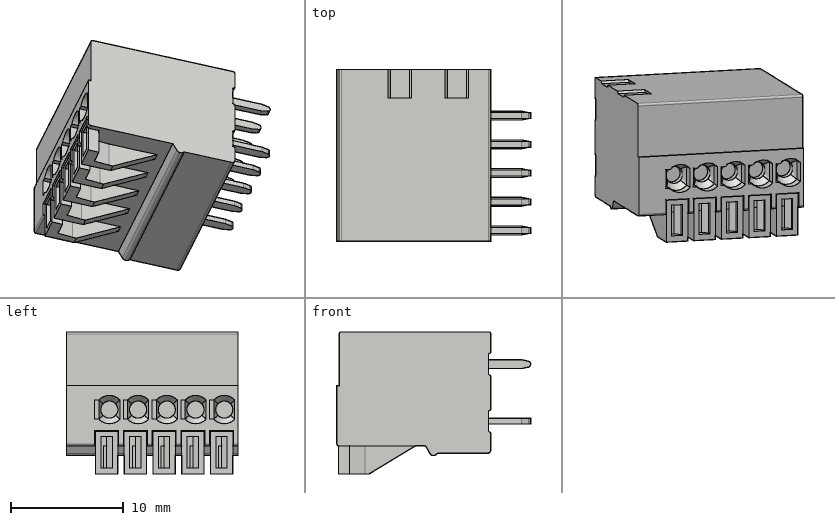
import cadquery as cq
import math


LENGTH = 17.2
WIDTH = 15.24
HEIGHT = 12.6

POLE_COUNT = 5
POLE_PITCH = 2.55
FIRST_PIN_Y = 0.96
FIRST_ENTRY_Y = 1.24
FIRST_LEVER_Y = 1.48

BODY_BACK = 13.67
EDGE_RADIUS = 0.2
UPPER_FRONT = 0.2
STEP_Z = 7.83
FRONT_BOTTOM_Z = 2.5
FRONT_BOTTOM_RADIUS = 0.17
BACK_BOTTOM_Z = 1.82
BACK_BOTTOM_RADIUS = 0.35
HUMP_START_X = 7.86
HUMP_FRONT = (8.24, 1.84)
HUMP_LOW = (8.5, 1.63)
HUMP_BACK = (8.79, 1.7)
HUMP_END_X = 8.95

UPPER_PIN_Z = 9.74
LOWER_PIN_Z = 4.68
RECESS_DEPTH = 0.2
RECESS_FLOOR = 1.77
RECESS_BEVEL = 0.15

PIN_WIDE = 0.8
PIN_THIN = 0.53
PIN_TAPER_X = 16.37
PIN_ROUND_X = 16.98
PIN_ROUND_WIDTH = 0.55
PIN_EMBEDMENT = 0.86
PIN_ROOT_X = BODY_BACK - PIN_EMBEDMENT

GROOVE_STARTS_X = (4.54, 9.6)
GROOVE_WIDTH = 2.1
GROOVE_LENGTH = 2.51
GROOVE_DEPTH = 0.2

ENTRY_Z = 5.71
MOUTH_RADIUS = 1.25
MOUTH_HALF_WIDTH = 0.93
MOUTH_DEPTH = 1.08
FUNNEL_DEPTH = 0.72
BORE_RADIUS = 0.75
BORE_END_X = 2.58
SIDE_SLOT_REACH = 1.3
SIDE_SLOT_HEIGHT = 2 * math.sqrt(MOUTH_RADIUS**2 - MOUTH_HALF_WIDTH**2)

LEVER_WIDTH = 2.0
LEVER_FRONT = 0.14
LEVER_TOP_Z = 3.78
LEVER_HEAD_BACK = 1.12
RIB_TAPER_END_X = 2.51
RIB_THICKNESS = 0.64
RIB_ROOT_THICKNESS = 0.74
LEVER_TOE_X = 2.87
LEVER_END_X = 7.0
LEVER_GAP = 0.07
WINDOW_WIDTH = 1.0
WINDOW_BOTTOM_Z = 0.55
WINDOW_TOP_Z = 3.32
WINDOW_DEPTH = 0.9


def pole_positions(first_y):
    return [first_y + i * POLE_PITCH for i in range(POLE_COUNT)]


def box(x_range, y_range, z_range):
    """Box given by its limits along each axis."""
    (x0, x1), (y0, y1), (z0, z1) = x_range, y_range, z_range
    return cq.Workplane("XY").box(x1 - x0, y1 - y0, z1 - z0, centered=False).translate((x0, y0, z0))


def side_extrusion(profile, y_start, width):
    """Extrude a closed XZ profile towards +Y."""
    return profile.extrude(-width).translate((0, y_start, 0))


def housing():
    profile = (
        cq.Workplane("XZ")
        .moveTo(0, FRONT_BOTTOM_Z)
        .lineTo(HUMP_START_X, FRONT_BOTTOM_Z)
        .lineTo(*HUMP_FRONT)
        .threePointArc(HUMP_LOW, HUMP_BACK)
        .lineTo(HUMP_END_X, BACK_BOTTOM_Z)
        .lineTo(BODY_BACK, BACK_BOTTOM_Z)
        .lineTo(BODY_BACK, HEIGHT)
        .lineTo(UPPER_FRONT, HEIGHT)
        .lineTo(UPPER_FRONT, STEP_Z)
        .lineTo(0, STEP_Z)
        .close()
    )
    body = side_extrusion(profile, 0, WIDTH)
    body = body.faces(">Z").edges("|Y").fillet(EDGE_RADIUS)
    body = body.faces("<X").edges("|Y and <Z").fillet(FRONT_BOTTOM_RADIUS)
    return body.faces(">X").edges("|Y and <Z").fillet(BACK_BOTTOM_RADIUS)


def back_recess(center_z):
    """Shallow recess with bevelled edges running across the back face."""
    half_floor = RECESS_FLOOR / 2
    half_mouth = half_floor + RECESS_BEVEL
    profile = cq.Workplane("XZ").polyline([
        (BODY_BACK, center_z - half_mouth),
        (BODY_BACK - RECESS_DEPTH, center_z - half_floor),
        (BODY_BACK - RECESS_DEPTH, center_z + half_floor),
        (BODY_BACK, center_z + half_mouth),
    ]).close()
    return side_extrusion(profile, 0, WIDTH)


def top_groove(start_x):
    """Groove with 45 degree flanks, open at the high-Y side."""
    profile = cq.Workplane("XZ").polyline([
        (start_x, HEIGHT),
        (start_x + GROOVE_DEPTH, HEIGHT - GROOVE_DEPTH),
        (start_x + GROOVE_WIDTH - GROOVE_DEPTH, HEIGHT - GROOVE_DEPTH),
        (start_x + GROOVE_WIDTH, HEIGHT),
    ]).close()
    return side_extrusion(profile, WIDTH - GROOVE_LENGTH, GROOVE_LENGTH)


def mouth_outline(plane):
    """Circle with its two sides flattened, as one closed outline on the given workplane."""
    half_flat = SIDE_SLOT_HEIGHT / 2
    return (
        plane.moveTo(MOUTH_HALF_WIDTH, -half_flat)
        .lineTo(MOUTH_HALF_WIDTH, half_flat)
        .threePointArc((0, MOUTH_RADIUS), (-MOUTH_HALF_WIDTH, half_flat))
        .lineTo(-MOUTH_HALF_WIDTH, -half_flat)
        .threePointArc((0, -MOUTH_RADIUS), (MOUTH_HALF_WIDTH, -half_flat))
        .close()
    )


def bore_outline(plane):
    """Bore circle split into four arcs that pair with the edges of the mouth outline."""
    scale = BORE_RADIUS / MOUTH_RADIUS
    corner_y = MOUTH_HALF_WIDTH * scale
    corner_z = SIDE_SLOT_HEIGHT / 2 * scale
    return (
        plane.moveTo(corner_y, -corner_z)
        .threePointArc((BORE_RADIUS, 0), (corner_y, corner_z))
        .threePointArc((0, BORE_RADIUS), (-corner_y, corner_z))
        .threePointArc((-BORE_RADIUS, 0), (-corner_y, -corner_z))
        .threePointArc((0, -BORE_RADIUS), (corner_y, -corner_z))
        .close()
    )


def wire_entry(center_y):
    """Flattened mouth, a funnel that blends it into a round bore, and a slot on the high-Y side."""
    front = cq.Workplane("YZ", origin=(0, center_y, ENTRY_Z))
    mouth = mouth_outline(front).extrude(MOUTH_DEPTH)
    mouth_end = front.workplane(offset=MOUTH_DEPTH)
    funnel = bore_outline(mouth_outline(mouth_end).workplane(offset=FUNNEL_DEPTH)).loft(ruled=True)
    bore = front.circle(BORE_RADIUS).extrude(BORE_END_X)
    slot = box(
        (0, MOUTH_DEPTH),
        (center_y, center_y + SIDE_SLOT_REACH),
        (ENTRY_Z - SIDE_SLOT_HEIGHT / 2, ENTRY_Z + SIDE_SLOT_HEIGHT / 2),
    )
    return mouth.union(funnel).union(bore).union(slot)


def lever_pocket(center_y):
    """Clearance around the front of a lever, open at the front and bottom of the housing."""
    half_width = LEVER_WIDTH / 2 + LEVER_GAP
    return box(
        (0, LEVER_HEAD_BACK),
        (center_y - half_width, center_y + half_width),
        (0, LEVER_TOP_Z + LEVER_GAP),
    )


def lever(center_y):
    """Lever head with a thin rib behind its high-Y side; the rib has a sloping underside."""
    low_y = center_y - LEVER_WIDTH / 2
    high_y = center_y + LEVER_WIDTH / 2
    side = cq.Workplane("XZ").polyline([
        (LEVER_FRONT, 0),
        (LEVER_TOE_X, 0),
        (LEVER_END_X, FRONT_BOTTOM_Z),
        (LEVER_END_X, LEVER_TOP_Z),
        (LEVER_FRONT, LEVER_TOP_Z),
    ]).close()
    plan = cq.Workplane("XY").polyline([
        (LEVER_FRONT, low_y),
        (LEVER_HEAD_BACK, low_y),
        (LEVER_HEAD_BACK, high_y - RIB_ROOT_THICKNESS),
        (RIB_TAPER_END_X, high_y - RIB_THICKNESS),
        (LEVER_END_X, high_y - RIB_THICKNESS),
        (LEVER_END_X, high_y),
        (LEVER_FRONT, high_y),
    ]).close()
    side_body = side_extrusion(side, low_y, LEVER_WIDTH)
    return side_body.intersect(plan.extrude(LEVER_TOP_Z))


def lever_window(center_y):
    """Blind window in the lever head, with a 45 degree floor on its low-Y half."""
    half_width = WINDOW_WIDTH / 2
    floor_x = LEVER_FRONT + WINDOW_DEPTH
    plan = cq.Workplane("XY", origin=(0, 0, WINDOW_BOTTOM_Z)).polyline([
        (LEVER_FRONT, center_y - half_width),
        (floor_x - half_width, center_y - half_width),
        (floor_x, center_y),
        (floor_x, center_y + half_width),
        (LEVER_FRONT, center_y + half_width),
    ]).close()
    return plan.extrude(WINDOW_TOP_Z - WINDOW_BOTTOM_Z)


def pin():
    """Flat pin along X, widest in Y, with a tapered and rounded tip."""
    half_width = PIN_WIDE / 2
    half_round = PIN_ROUND_WIDTH / 2
    return (
        cq.Workplane("XY")
        .moveTo(PIN_ROOT_X, -half_width)
        .lineTo(PIN_TAPER_X, -half_width)
        .lineTo(PIN_ROUND_X, -half_round)
        .threePointArc((LENGTH, 0), (PIN_ROUND_X, half_round))
        .lineTo(PIN_TAPER_X, half_width)
        .lineTo(PIN_ROOT_X, half_width)
        .close()
        .extrude(PIN_THIN / 2, both=True)
    )


result = housing()

for pin_row_z in (UPPER_PIN_Z, LOWER_PIN_Z):
    result = result.cut(back_recess(pin_row_z))

for groove_x in GROOVE_STARTS_X:
    result = result.cut(top_groove(groove_x))

for entry_y in pole_positions(FIRST_ENTRY_Y):
    result = result.cut(wire_entry(entry_y))

for lever_y in pole_positions(FIRST_LEVER_Y):
    result = result.cut(lever_pocket(lever_y))
    result = result.union(lever(lever_y))
    result = result.cut(lever_window(lever_y))

flat_pin = pin()
upright_pin = flat_pin.rotate((0, 0, 0), (1, 0, 0), 90)
for pin_y in pole_positions(FIRST_PIN_Y):
    result = result.union(flat_pin.translate((0, pin_y, LOWER_PIN_Z)))
    result = result.union(upright_pin.translate((0, pin_y, UPPER_PIN_Z)))